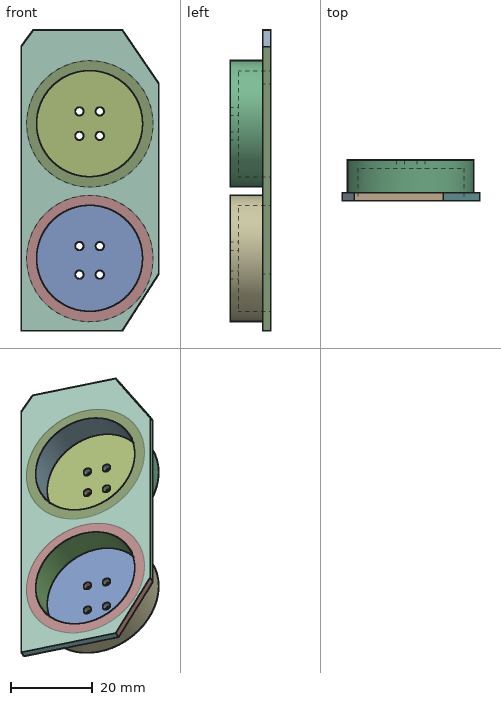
import cadquery as cq

plate_width = 33.81
plate_height = 73.79
plate_thickness = 2.0

top_left_cut = (3.0, 4.1)
top_right_cut = (9.0, 13.2)
bottom_right_cut = (9.0, 14.0)

cup_outer_diameter = 31.0
cup_inner_diameter = 26.0
cup_length = 10.0
cup_floor_thickness = 2.0
cup_x = -0.1
cup_spacing = 33.0
upper_cup_z = 13.9
lower_cup_z = upper_cup_z - cup_spacing

pin_hole_diameter = 2.0
pin_hole_x_offset = 2.5
upper_cup_pin_z_offsets = (3.0, -3.0)
lower_cup_pin_z_offsets = (3.0, -4.0)

cups = (
    (upper_cup_z, upper_cup_pin_z_offsets),
    (lower_cup_z, lower_cup_pin_z_offsets),
)


def cylinder_along_y(x, z, diameter, length):
    """Cylinder running from the front face (Y = 0) towards +Y."""
    front_plane = cq.Workplane("XZ", origin=(x, 0, z))
    return front_plane.circle(diameter / 2).extrude(-length)


def make_plate():
    """Rectangular plate with three corners cut off at an angle."""
    right = plate_width / 2
    left = -right
    top = plate_height / 2
    bottom = -top
    outline = [
        (left, bottom),
        (right - bottom_right_cut[0], bottom),
        (right, bottom + bottom_right_cut[1]),
        (right, top - top_right_cut[1]),
        (right - top_right_cut[0], top),
        (left + top_left_cut[0], top),
        (left, top - top_left_cut[1]),
    ]
    return cq.Workplane("XZ").polyline(outline).close().extrude(-plate_thickness)


def make_cup(cup_z, pin_z_offsets):
    """Cup with a closed rear floor that is pierced by four pin holes."""
    cup = cylinder_along_y(cup_x, cup_z, cup_outer_diameter, cup_length)
    cavity_depth = cup_length - cup_floor_thickness
    cup = cup.cut(cylinder_along_y(cup_x, cup_z, cup_inner_diameter, cavity_depth))
    for x_offset in (-pin_hole_x_offset, pin_hole_x_offset):
        for z_offset in pin_z_offsets:
            pin_x = cup_x + x_offset
            pin_z = cup_z + z_offset
            cup = cup.cut(cylinder_along_y(pin_x, pin_z, pin_hole_diameter, cup_length))
    return cup


result = make_plate()
for cup_z, _ in cups:
    result = result.cut(cylinder_along_y(cup_x, cup_z, cup_outer_diameter, plate_thickness))
for cup_z, pin_z_offsets in cups:
    result = result.union(make_cup(cup_z, pin_z_offsets), clean=False)